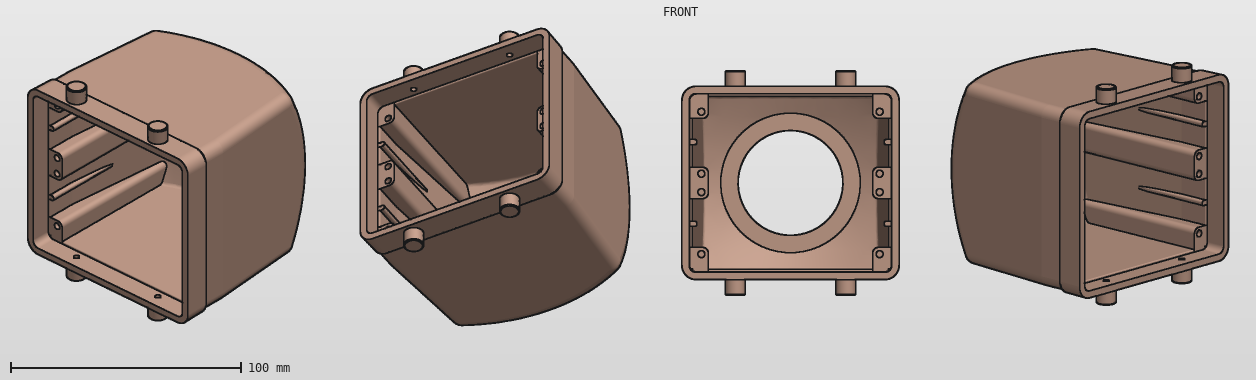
import cadquery as cq
import math


FLANGE_X = 94.5
FLANGE_Z = 84.0
FLANGE_LENGTH = 12.5
FLANGE_CORNER_R = 6.2
FLANGE_EDGE_R = 0.8
MOUTH_WALL = 3.2
MOUTH_DEPTH = 9.6
FLANGE_DRAFT = 1

BODY_INSET = 1.2
BODY_X = FLANGE_X - 2 * BODY_INSET
BODY_Z = FLANGE_Z - 2 * BODY_INSET
BODY_LENGTH = 89.0
TAPER_START = 23.9
TAPER_ANGLE = 5
BODY_EDGE_R = FLANGE_CORNER_R - BODY_INSET
BODY_WALL = 3.3

DOME_R = 91.65
DOME_WALL = 3.0
FLAT_R = 26.9
INNER_FLAT_R = 30.3
DOME_CENTER_Y = BODY_LENGTH - math.sqrt(DOME_R ** 2 - FLAT_R ** 2)
CABLE_HOLE_R = 22.7

CAVITY_X = BODY_X - 2 * BODY_WALL
CAVITY_Z = BODY_Z - 2 * BODY_WALL
LIP_R = 0.5
CAVITY_DOME_FILLET = 1.8

RAIL_INNER_X = 35.7
RAIL_EDGE_R = 2.5
CORNER_RAIL_Z = 28.0
MIDDLE_RAIL_Z = 6.8
SCREW_X = 38.7
SCREW_Z = (4.0, 30.9)
SCREW_HOLE_D = 3.0
SCREW_HOLE_DEPTH = 14.6

RIB_INNER_X = 40.7
RIB_Z = 17.7
RIB_THICKNESS = 2.3
RIB_EDGE_R = 1.0

PIN_X = 24.0
PIN_Y = 6.0
PIN_D = 8.8
PIN_TIP_Z = 48.75
PIN_ROOT_Z = FLANGE_Z / 2 - MOUTH_WALL / 2
PIN_CHAMFER = 0.5
PIN_HOLE_D = 2.5

SIDES = (-1, 1)


def block(x_min, x_max, y_min, y_max, z_min, z_max):
    """Axis-aligned box given by its limits."""
    size = (x_max - x_min, y_max - y_min, z_max - z_min)
    return cq.Workplane("XY").box(*size, centered=False).translate((x_min, y_min, z_min))


def y_block(width, height, y_min, y_max):
    """Box centred on the Y axis."""
    return block(-width / 2, width / 2, y_min, y_max, -height / 2, height / 2)


def drafted_block(width, height, length, corner_r):
    """Round-cornered block from Y = 0, narrowing slightly with depth."""
    block_shape = cq.Workplane("XZ").rect(width, height).extrude(-length, taper=FLANGE_DRAFT)
    return block_shape.edges("not #Y").fillet(corner_r)


def y_cylinder(radius, y_min, y_max, x=0, z=0):
    """Cylinder along Y."""
    axis = cq.Vector(0, 1, 0)
    return cq.Workplane(obj=cq.Solid.makeCylinder(radius, y_max - y_min, cq.Vector(x, y_min, z), axis))


def z_cylinder(diameter, z_min, z_max, x, y):
    """Cylinder along Z."""
    return cq.Workplane("XY", origin=(x, y, z_min)).circle(diameter / 2).extrude(z_max - z_min)


def tapered_dome_block(width, height, y_min, sphere_r):
    """Block with straight, then tapering side walls, closed at the back by a sphere."""
    y_end = DOME_CENTER_Y + sphere_r
    half = width / 2
    half_end = half - (y_end - TAPER_START) * math.tan(math.radians(TAPER_ANGLE))
    outline = [
        (-half, y_min),
        (half, y_min),
        (half, TAPER_START),
        (half_end, y_end),
        (-half_end, y_end),
        (-half, TAPER_START),
    ]
    sides = cq.Workplane("XY").polyline(outline).close().extrude(height / 2, both=True)
    sphere = cq.Workplane("XY").sphere(sphere_r).translate((0, DOME_CENTER_Y, 0))
    return sides.intersect(sphere)


def make_body():
    body = tapered_dome_block(BODY_X, BODY_Z, 0, DOME_R)
    margin = 1
    taper_breaks = cq.selectors.BoxSelector(
        (-BODY_X, TAPER_START - margin, -margin), (BODY_X, TAPER_START + margin, margin)
    )
    outer_edges = cq.selectors.SubtractSelector(cq.StringSyntaxSelector("not <Y"), taper_breaks)
    body = body.edges(outer_edges).fillet(BODY_EDGE_R)
    return body.intersect(y_block(FLANGE_X, FLANGE_Z, 0, BODY_LENGTH))


def make_flange():
    flange = drafted_block(FLANGE_X, FLANGE_Z, FLANGE_LENGTH, FLANGE_CORNER_R)
    return flange.faces(">Y").edges().fillet(FLANGE_EDGE_R)


def make_cavity():
    sphere_r = DOME_R - DOME_WALL
    inner_flat_y = DOME_CENTER_Y + math.sqrt(sphere_r ** 2 - INNER_FLAT_R ** 2)
    cavity = tapered_dome_block(CAVITY_X, CAVITY_Z, MOUTH_DEPTH, sphere_r)
    dome_rim = cavity.faces("%SPHERE").edges()
    cavity = cavity.newObject(dome_rim.vals()).fillet(CAVITY_DOME_FILLET)
    cavity = cavity.intersect(y_block(FLANGE_X, FLANGE_Z, 0, inner_flat_y))

    mouth = drafted_block(
        FLANGE_X - 2 * MOUTH_WALL, FLANGE_Z - 2 * MOUTH_WALL, MOUTH_DEPTH, FLANGE_CORNER_R - MOUTH_WALL
    )

    lip_zone = cq.selectors.BoxSelector(
        (-CAVITY_X / 2 - LIP_R, MOUTH_DEPTH - LIP_R, -CAVITY_Z / 2 - LIP_R),
        (CAVITY_X / 2 + LIP_R, MOUTH_DEPTH + LIP_R, CAVITY_Z / 2 + LIP_R),
    )
    return cavity.union(mouth).edges("#Y").edges(lip_zone).fillet(LIP_R)


def side_rail(inner_x, z_min, z_max, edge_r, rounded_edges):
    """Rail on the +X wall, with its free lengthwise edges rounded."""
    rail = block(inner_x, BODY_X / 2, MOUTH_DEPTH, BODY_LENGTH, z_min, z_max)
    return rail.edges("|Y").edges("<X").edges(rounded_edges).fillet(edge_r)


def make_rails():
    all_edges = "|Y"
    rails = side_rail(RAIL_INNER_X, -MIDDLE_RAIL_Z, MIDDLE_RAIL_Z, RAIL_EDGE_R, all_edges)
    corner = side_rail(RAIL_INNER_X, CORNER_RAIL_Z, BODY_Z / 2, RAIL_EDGE_R, "<Z")
    rib_half = RIB_THICKNESS / 2
    rib = side_rail(RIB_INNER_X, RIB_Z - rib_half, RIB_Z + rib_half, RIB_EDGE_R, all_edges)
    for feature in (corner, rib):
        rails = rails.union(feature).union(feature.mirror("XY"))
    return rails.union(rails.mirror("YZ"))


hood = make_body()
rails = make_rails().intersect(hood)
result = hood.union(make_flange()).cut(make_cavity()).union(rails)
result = result.cut(y_cylinder(CABLE_HOLE_R, MOUTH_DEPTH, BODY_LENGTH))

for side_x in SIDES:
    for side_z in SIDES:
        for screw_z in SCREW_Z:
            hole_end = MOUTH_DEPTH + SCREW_HOLE_DEPTH
            screw_hole = y_cylinder(
                SCREW_HOLE_D / 2, MOUTH_DEPTH, hole_end, side_x * SCREW_X, side_z * screw_z
            )
            result = result.cut(screw_hole)

for side_x in SIDES:
    pin = z_cylinder(PIN_D, PIN_ROOT_Z, PIN_TIP_Z, side_x * PIN_X, PIN_Y)
    pin = pin.faces(">Z").chamfer(PIN_CHAMFER)
    pin_hole = z_cylinder(PIN_HOLE_D, 0, FLANGE_Z / 2, side_x * PIN_X, PIN_Y)
    result = result.union(pin).union(pin.mirror("XY"))
    result = result.cut(pin_hole).cut(pin_hole.mirror("XY"))